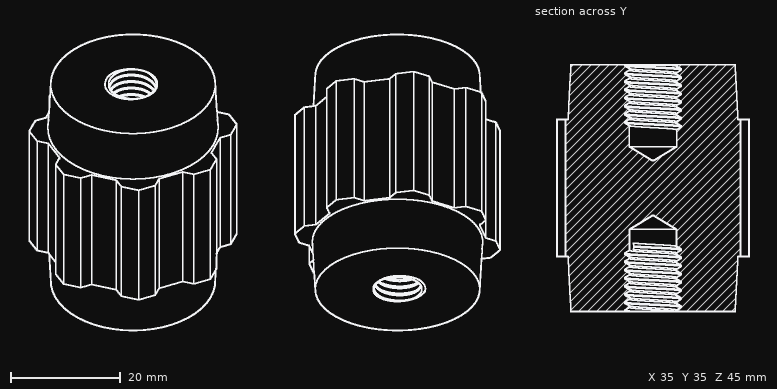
import cadquery as cq
import math

height = 45.0
grip_flats = 35.0
grip_height = 25.0
grip_apothem = grip_flats / 2
boss_height = (height - grip_height) / 2

boss_base_diameter = 31.05
boss_end_diameter = 30.0

flute_count = 8
flute_depth = 1.55
flute_floor_width = 4.75

bore_diameter = 8.5
thread_diameter = 10.2
thread_pitch = 1.5
thread_turns = 8
thread_root_width = 0.2
thread_half_angle = 30.0
thread_phase = 215.0
thread_overlap = 0.15
bore_depth = 15.0
drill_tip_angle = 118.0
lip_thickness = 0.1
lip_diameter = 8.9


def make_grip():
    """Fluted octagonal prism with its flats square to X and Y."""
    circumscribed_diameter = grip_flats / math.cos(math.pi / flute_count)
    blank = cq.Workplane("XY").workplane(offset=boss_height)
    blank = blank.transformed(rotate=(0, 0, 180 / flute_count))
    grip = blank.polygon(flute_count, circumscribed_diameter).extrude(grip_height)

    floor_half = flute_floor_width / 2
    mouth_half = floor_half + flute_depth
    floor_y = grip_apothem - flute_depth
    flute = (
        cq.Workplane("XY")
        .workplane(offset=boss_height)
        .moveTo(-floor_half, floor_y)
        .lineTo(floor_half, floor_y)
        .lineTo(mouth_half, grip_apothem)
        .lineTo(-mouth_half, grip_apothem)
        .close()
        .extrude(grip_height)
    )
    for index in range(flute_count):
        angle = index * 360 / flute_count
        grip = grip.cut(flute.rotate((0, 0, 0), (0, 0, 1), angle))
    return grip


def make_core():
    """Round core whose ends taper from the grip to the end faces."""
    base_radius = boss_base_diameter / 2
    end_radius = boss_end_diameter / 2
    return (
        cq.Workplane("XZ")
        .lineTo(end_radius, 0)
        .lineTo(base_radius, boss_height)
        .lineTo(base_radius, height - boss_height)
        .lineTo(end_radius, height)
        .lineTo(0, height)
        .close()
        .revolve(360, (0, 0, 0), (0, 1, 0))
    )


def make_bore():
    """Hole with a conical floor, entering through the lip in the top face."""
    radius = bore_diameter / 2
    lip_z = height - lip_thickness
    floor_z = height - bore_depth
    tip_z = floor_z - radius / math.tan(math.radians(drill_tip_angle / 2))
    return (
        cq.Workplane("YZ")
        .moveTo(0, height)
        .lineTo(lip_diameter / 2, height)
        .lineTo(lip_diameter / 2, lip_z)
        .lineTo(radius, lip_z)
        .lineTo(radius, floor_z)
        .lineTo(0, tip_z)
        .close()
        .revolve(360, (0, 0, 0), (0, 1, 0))
    )


def make_thread_groove():
    """Right-hand helical groove that ends under the lip of the top face."""
    root_radius = thread_diameter / 2
    mouth_radius = bore_diameter / 2 - thread_overlap
    root_half = thread_root_width / 2
    flank_rise = (root_radius - mouth_radius) * math.tan(math.radians(thread_half_angle))
    mouth_half = root_half + flank_rise

    helix = cq.Wire.makeHelix(thread_pitch, (thread_turns + 1) * thread_pitch, bore_diameter / 2)
    groove = (
        cq.Workplane("XZ")
        .moveTo(mouth_radius, -mouth_half)
        .lineTo(root_radius, -root_half)
        .lineTo(root_radius, root_half)
        .lineTo(mouth_radius, mouth_half)
        .close()
        .sweep(cq.Workplane(obj=helix), isFrenet=True)
    )
    start_z = height - thread_turns * thread_pitch
    groove = groove.rotate((0, 0, 0), (0, 0, 1), thread_phase).translate((0, 0, start_z))
    below_lip = cq.Workplane("XY").circle(boss_end_diameter / 2).extrude(height - lip_thickness)
    return groove.intersect(below_lip)


def flip_end_for_end(shape):
    """Turn a top-end feature over to the bottom end, keeping its thread hand."""
    middle = height / 2
    return shape.rotate((0, 0, middle), (1, 0, middle), 180)


result = make_grip().union(make_core())
for cutter in (make_thread_groove(), make_bore()):
    result = result.cut(cutter).cut(flip_end_for_end(cutter))